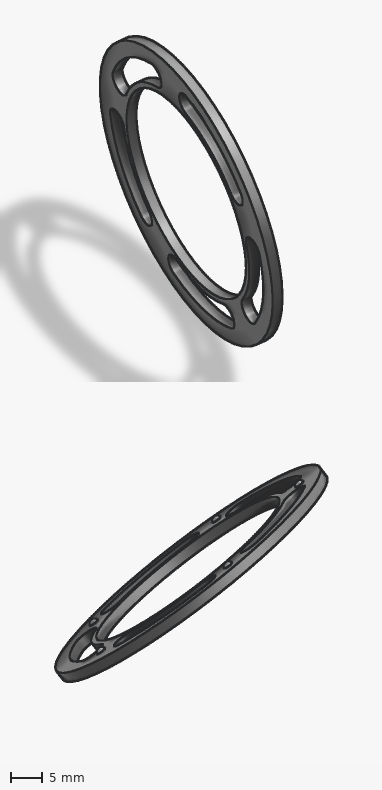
import cadquery as cq
import math

outer_diameter = 53.35
bore_diameter = 36.8
total_depth = 2.55
bump_height = 0.7
plate_thickness = total_depth - bump_height

pattern_count = 5
pattern_step = 360 / pattern_count
slot_width = 4.3
slot_center_radius = 21.6
slot_start_angle = 45
slot_end_angle = 90

bump_radius = 0.8
bump_circle_radius = 22.45
bump_first_angle = 32.9


def polar(radius, angle):
    """Point in the XZ plane, angle in degrees from +X toward +Z."""
    return radius * math.cos(math.radians(angle)), radius * math.sin(math.radians(angle))


def ring_plate():
    """Flat ring extending from the front face toward +Y."""
    profile = cq.Workplane("XZ").circle(outer_diameter / 2).circle(bore_diameter / 2)
    return profile.extrude(-plate_thickness)


def slot_cutter(start_angle):
    """Arc-shaped slot with full round ends, through the plate."""
    end_angle = start_angle + slot_end_angle - slot_start_angle
    middle_angle = (start_angle + end_angle) / 2
    inner_radius = slot_center_radius - slot_width / 2
    outer_radius = slot_center_radius + slot_width / 2
    end_caps = cq.Workplane("XZ").pushPoints(
        [polar(slot_center_radius, start_angle), polar(slot_center_radius, end_angle)]
    ).circle(slot_width / 2).extrude(-plate_thickness)
    band = (
        cq.Workplane("XZ")
        .moveTo(*polar(inner_radius, start_angle))
        .threePointArc(polar(inner_radius, middle_angle), polar(inner_radius, end_angle))
        .lineTo(*polar(outer_radius, end_angle))
        .threePointArc(polar(outer_radius, middle_angle), polar(outer_radius, start_angle))
        .close()
        .extrude(-plate_thickness)
    )
    return band.union(end_caps)


def bump(angle):
    """Ball sunk partly into the back face, leaving a low dome."""
    x, z = polar(bump_circle_radius, angle)
    return cq.Workplane("XY").sphere(bump_radius).translate((x, total_depth - bump_radius, z))


result = ring_plate()
for index in range(pattern_count):
    turn = index * pattern_step
    result = result.cut(slot_cutter(slot_start_angle + turn))
    result = result.union(bump(bump_first_angle + turn))